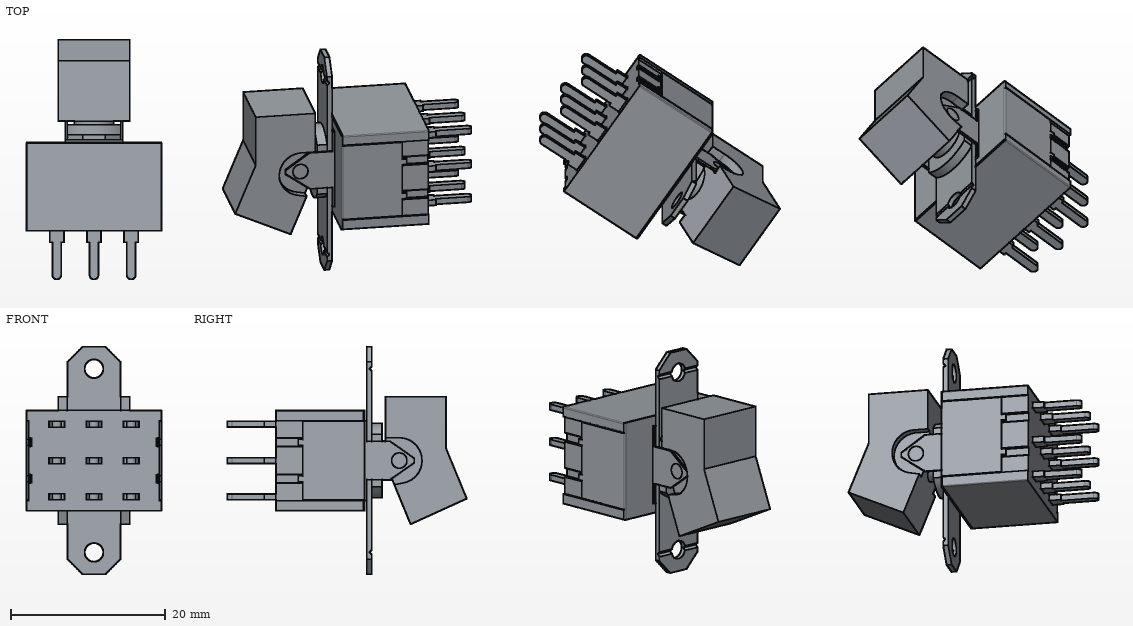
import cadquery as cq
import math


HOUSING_WIDTH = 17.5
HOUSING_HEIGHT = 13.0
HOUSING_DEPTH = 11.3
EDGE_RADIUS = 0.12
RECESS_HALF_HEIGHT = 5.18
SKIRT_THICKNESS = 0.3
RECESS_FLOOR = HOUSING_WIDTH / 2 - SKIRT_THICKNESS
NOTCH_OUTER_WIDTH = 1.2
NOTCH_OUTER_DEPTH = 0.2
NOTCH_INNER_WIDTH = 1.02
NOTCH_INNER_DEPTH = 0.37
NOTCH_END_RISE = 0.1

TERMINAL_PITCH_X = 4.8
TERMINAL_PITCH_Z = 4.72
TERMINAL_THICKNESS = 0.78
TERMINAL_LENGTH = 6.3
SHOULDER_WIDTH = 1.85
SHOULDER_LENGTH = 1.5
BLADE_WIDTH = 1.18
SLOT_WIDTH = 2.05
SLOT_DEPTH = 0.15

CAP_THICKNESS = 0.2
SKIRT_CLEARANCE = 0.1
SKIRT_HALF_HEIGHT = RECESS_HALF_HEIGHT - SKIRT_CLEARANCE
SKIRT_END_Y = 3.48
TAB_WIDTH = 0.78
TAB_LENGTH = 0.6
TAB_OFFSET_Z = TERMINAL_PITCH_Z / 2

SHEET_THICKNESS = 0.28
BRACKET_INNER_HALF = 3.45
BRACKET_OUTER_HALF = BRACKET_INNER_HALF + SHEET_THICKNESS
EAR_HALF_HEIGHT = 2.48
EAR_SHOULDER_Y = 14.8
EAR_TIP_Y = 17.95
EAR_TIP_HALF_HEIGHT = 0.28
PIVOT_Y = 16.0
PIVOT_RADIUS = 1.0

PLATE_THICKNESS = 0.68
PLATE_LENGTH = 29.5
PLATE_CORNER_CUT = 2.0
PLATE_HOLE_DIAMETER = 2.4
HOLE_END_DISTANCE = 2.85
PLATE_HOLE_SPACING = PLATE_LENGTH - 2 * HOLE_END_DISTANCE
GROOVE_DEPTH = 0.3

FLANGE_RADIUS = 4.85
FLANGE_THICKNESS = 1.3
BUSHING_RADIUS = 2.58
BUSHING_END_Y = PIVOT_Y

ROCKER_HALF_WIDTH = 4.65
ROCKER_BACK_Y = 14.2
ROCKER_FRONT_Y = 22.05
UPPER_END_Z = 8.3
FOLD_ANGLE = 22.4
LOWER_FRONT_CORNER = (24.75, -4.95)
LOWER_BACK_CORNER = (17.45, -8.25)
POCKET_RADIUS = 2.95

CAP_TOP_Y = HOUSING_DEPTH + CAP_THICKNESS
WEB_TOP_Y = CAP_TOP_Y + SHEET_THICKNESS
PLATE_TOP_Y = WEB_TOP_Y + PLATE_THICKNESS
FLANGE_TOP_Y = PLATE_TOP_Y + FLANGE_THICKNESS

SIDES = (-1, 1)


def block(x_range, y_range, z_range):
    """Box between two limits along each axis."""
    x0, x1 = x_range
    y0, y1 = y_range
    z0, z1 = z_range
    return cq.Workplane("XY").box(x1 - x0, y1 - y0, z1 - z0, centered=False).translate((x0, y0, z0))


def side_range(side, inner, outer):
    """X limits of a layer between two distances from the middle plane."""
    return sorted((side * inner, side * outer))


def extrude_x(profile_points, x_range):
    """Prism along X with an outline of (Y, Z) points."""
    x0, x1 = x_range
    return cq.Workplane("YZ", origin=(x0, 0, 0)).polyline(profile_points).close().extrude(x1 - x0)


def cylinder_x(radius, y, x_range):
    """Cylinder along X with its axis at height Z = 0."""
    x0, x1 = x_range
    return cq.Workplane("YZ", origin=(x0, 0, 0)).center(y, 0).circle(radius).extrude(x1 - x0)


def cylinder_y(radius, y0, y1):
    """Cylinder along the Y axis."""
    return cq.Workplane("XZ", origin=(0, y0, 0)).circle(radius).extrude(y0 - y1)


def make_terminal():
    """Shouldered terminal blade with a round tip, pointing to -Y and rooted in its slot."""
    blade_radius = BLADE_WIDTH / 2
    tip_start = -(TERMINAL_LENGTH - blade_radius)
    return (
        cq.Workplane("XY")
        .moveTo(-SHOULDER_WIDTH / 2, SLOT_DEPTH)
        .lineTo(-SHOULDER_WIDTH / 2, -SHOULDER_LENGTH)
        .lineTo(-blade_radius, -SHOULDER_LENGTH)
        .lineTo(-blade_radius, tip_start)
        .threePointArc((0, -TERMINAL_LENGTH), (blade_radius, tip_start))
        .lineTo(blade_radius, -SHOULDER_LENGTH)
        .lineTo(SHOULDER_WIDTH / 2, -SHOULDER_LENGTH)
        .lineTo(SHOULDER_WIDTH / 2, SLOT_DEPTH)
        .close()
        .extrude(TERMINAL_THICKNESS / 2, both=True)
    )


def rounded_slab(y0, y1):
    """Slab with the outline of the housing, its edges along Y rounded."""
    x_range = (-HOUSING_WIDTH / 2, HOUSING_WIDTH / 2)
    z_range = (-HOUSING_HEIGHT / 2, HOUSING_HEIGHT / 2)
    return block(x_range, (y0, y1), z_range).edges("|Y").fillet(EDGE_RADIUS)


def make_notch(side):
    """Stepped notch behind a clip tab, open at the terminal face; the outer step ends in a slope."""
    floor_x = side * RECESS_FLOOR
    step_x = side * (RECESS_FLOOR - NOTCH_OUTER_DEPTH)
    end_y = SKIRT_END_Y + NOTCH_END_RISE
    outer_step = (
        cq.Workplane("XY")
        .polyline([(floor_x, 0), (step_x, 0), (step_x, end_y), (floor_x, SKIRT_END_Y)])
        .close()
        .extrude(NOTCH_OUTER_WIDTH / 2, both=True)
    )
    inner_x = side_range(side, RECESS_FLOOR - NOTCH_INNER_DEPTH, RECESS_FLOOR - NOTCH_OUTER_DEPTH)
    inner_step = block(inner_x, (0, end_y), (-NOTCH_INNER_WIDTH / 2, NOTCH_INNER_WIDTH / 2))
    return outer_step.union(inner_step)


def make_housing():
    """Housing with its nine terminals and, on both sides, the recess and notches for the clip."""
    housing = rounded_slab(0, HOUSING_DEPTH)
    for side in SIDES:
        recess_x = side_range(side, RECESS_FLOOR, HOUSING_WIDTH / 2)
        recess_z = (-RECESS_HALF_HEIGHT, RECESS_HALF_HEIGHT)
        housing = housing.cut(block(recess_x, (0, HOUSING_DEPTH), recess_z))
        for notch_z in (-TAB_OFFSET_Z, TAB_OFFSET_Z):
            housing = housing.cut(make_notch(side).translate((0, 0, notch_z)))
    terminal = make_terminal()
    slot = block(
        (-SLOT_WIDTH / 2, SLOT_WIDTH / 2),
        (0, SLOT_DEPTH),
        (-TERMINAL_THICKNESS / 2, TERMINAL_THICKNESS / 2),
    )
    for column in (-1, 0, 1):
        for row in (-1, 0, 1):
            place = (column * TERMINAL_PITCH_X, 0, row * TERMINAL_PITCH_Z)
            housing = housing.cut(slot.translate(place)).union(terminal.translate(place))
    return housing


def make_clip():
    """Sheet cap over the housing with a skirt down each side and two tabs on each skirt."""
    half_width = HOUSING_WIDTH / 2
    half_height = HOUSING_HEIGHT / 2
    bent_sheet = block((-half_width, half_width), (0, CAP_TOP_Y), (-half_height, half_height))
    bent_sheet = bent_sheet.edges(">Y and |Z").fillet(CAP_THICKNESS)
    clip = rounded_slab(HOUSING_DEPTH, CAP_TOP_Y).intersect(bent_sheet)
    for side in SIDES:
        skirt_x = side_range(side, RECESS_FLOOR, HOUSING_WIDTH / 2)
        skirt_z = (-SKIRT_HALF_HEIGHT, SKIRT_HALF_HEIGHT)
        clip = clip.union(block(skirt_x, (SKIRT_END_Y, HOUSING_DEPTH), skirt_z))
        for tab_z in (-TAB_OFFSET_Z, TAB_OFFSET_Z):
            tab_range = (tab_z - TAB_WIDTH / 2, tab_z + TAB_WIDTH / 2)
            clip = clip.union(block(skirt_x, (SKIRT_END_Y - TAB_LENGTH, SKIRT_END_Y), tab_range))
    return clip


def make_bracket():
    """U-shaped bracket whose two pointed ears carry the rocker pivots."""
    web_x = (-BRACKET_OUTER_HALF, BRACKET_OUTER_HALF)
    web_z = (-RECESS_HALF_HEIGHT, RECESS_HALF_HEIGHT)
    bracket = block(web_x, (CAP_TOP_Y, WEB_TOP_Y), web_z)
    ear_profile = [
        (WEB_TOP_Y, EAR_HALF_HEIGHT),
        (EAR_SHOULDER_Y, EAR_HALF_HEIGHT),
        (EAR_TIP_Y, EAR_TIP_HALF_HEIGHT),
        (EAR_TIP_Y, -EAR_TIP_HALF_HEIGHT),
        (EAR_SHOULDER_Y, -EAR_HALF_HEIGHT),
        (WEB_TOP_Y, -EAR_HALF_HEIGHT),
    ]
    for side in SIDES:
        ear_x = side_range(side, BRACKET_INNER_HALF, BRACKET_OUTER_HALF)
        bracket = bracket.union(extrude_x(ear_profile, ear_x))
    return bracket.cut(cylinder_x(PIVOT_RADIUS, PIVOT_Y, web_x))


def make_plate():
    """Mounting plate with cut corners and a V groove across each mounting hole."""
    plate_x = (-BRACKET_INNER_HALF, BRACKET_INNER_HALF)
    plate = block(plate_x, (WEB_TOP_Y, PLATE_TOP_Y), (-PLATE_LENGTH / 2, PLATE_LENGTH / 2))
    plate = plate.edges("|Y").chamfer(PLATE_CORNER_CUT)
    for end in (-1, 1):
        hole_z = end * PLATE_HOLE_SPACING / 2
        hole = cylinder_y(PLATE_HOLE_DIAMETER / 2, WEB_TOP_Y, PLATE_TOP_Y).translate((0, 0, hole_z))
        groove_profile = [
            (PLATE_TOP_Y, hole_z - GROOVE_DEPTH),
            (PLATE_TOP_Y - GROOVE_DEPTH, hole_z),
            (PLATE_TOP_Y, hole_z + GROOVE_DEPTH),
        ]
        plate = plate.cut(hole).cut(extrude_x(groove_profile, plate_x))
    return plate


def make_bushing():
    """Round bushing on a flange that is flattened to fit between the ears."""
    flange = cylinder_y(FLANGE_RADIUS, PLATE_TOP_Y, FLANGE_TOP_Y)
    between_ears = block(
        (-BRACKET_INNER_HALF, BRACKET_INNER_HALF),
        (PLATE_TOP_Y, FLANGE_TOP_Y),
        (-FLANGE_RADIUS, FLANGE_RADIUS),
    )
    return flange.intersect(between_ears).union(cylinder_y(BUSHING_RADIUS, PLATE_TOP_Y, BUSHING_END_Y))


def make_pocket(x_range):
    """Pocket around an ear: a round end at the pivot that widens toward the back of the rocker."""
    half_fold = math.radians(FOLD_ANGLE / 2)
    lower_y = PIVOT_Y + POCKET_RADIUS * math.sin(half_fold)
    lower_z = -POCKET_RADIUS * math.cos(half_fold)
    mouth_z = lower_z - (lower_y - FLANGE_TOP_Y) * math.tan(half_fold)
    mouth_profile = [
        (PIVOT_Y, 0),
        (PIVOT_Y, POCKET_RADIUS),
        (FLANGE_TOP_Y, POCKET_RADIUS),
        (FLANGE_TOP_Y, mouth_z),
        (lower_y, lower_z),
    ]
    return extrude_x(mouth_profile, x_range).union(cylinder_x(POCKET_RADIUS, PIVOT_Y, x_range))


def make_rocker():
    """Two-armed rocker with ear pockets, a bore for the bushing and a pivot on each side."""
    fold = math.tan(math.radians(FOLD_ANGLE))
    lower_front_y, lower_front_z = LOWER_FRONT_CORNER
    lower_back_y, lower_back_z = LOWER_BACK_CORNER
    outline = [
        (ROCKER_BACK_Y, UPPER_END_Z),
        (ROCKER_FRONT_Y, UPPER_END_Z),
        (ROCKER_FRONT_Y, lower_front_z + (lower_front_y - ROCKER_FRONT_Y) / fold),
        LOWER_FRONT_CORNER,
        LOWER_BACK_CORNER,
        (ROCKER_BACK_Y, lower_back_z + (lower_back_y - ROCKER_BACK_Y) / fold),
    ]
    rocker = extrude_x(outline, (-ROCKER_HALF_WIDTH, ROCKER_HALF_WIDTH))
    rocker = rocker.cut(cylinder_y(BUSHING_RADIUS, PLATE_TOP_Y, BUSHING_END_Y))
    for side in SIDES:
        pocket_x = side_range(side, BRACKET_INNER_HALF, ROCKER_HALF_WIDTH)
        pivot_x = side_range(side, BRACKET_INNER_HALF, BRACKET_OUTER_HALF)
        rocker = rocker.cut(make_pocket(pocket_x)).union(cylinder_x(PIVOT_RADIUS, PIVOT_Y, pivot_x))
    return rocker


housing = make_housing()
clip = make_clip()
bracket = make_bracket()
plate = make_plate()
bushing = make_bushing()
rocker = make_rocker()

bodies = (housing, clip, bracket, plate, bushing, rocker)
result = cq.Compound.makeCompound([body.solids().val() for body in bodies])